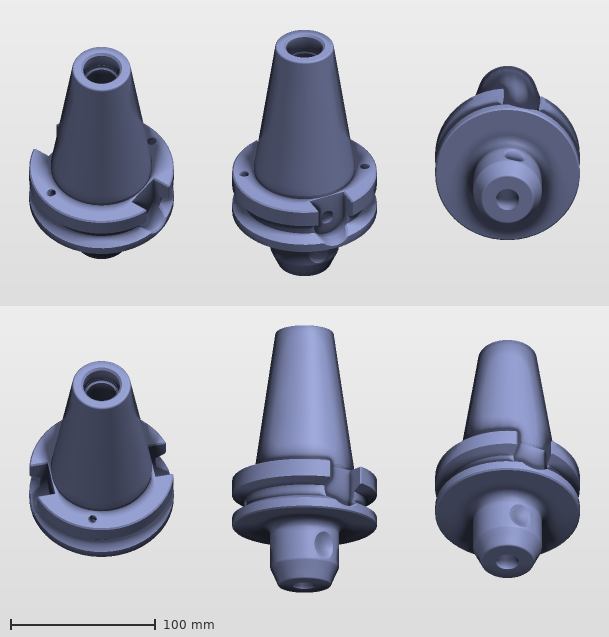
import cadquery as cq
import math

TAPER_TOP_Z = 101.8
TAPER_BOTTOM_Z = -0.4
GAUGE_RADIUS = 69.85 / 2
TAPER_SLOPE = 7 / 48
TAPER_TOP_FILLET = 1.5
COLLAR_RADIUS = 69.71 / 2

FLANGE_RADIUS = 50.0
FLANGE_TOP_Z = -3.0
FLANGE_BOTTOM_Z = -38.0
FLANGE_TOP_CHAMFER = 1.0
FLANGE_BOTTOM_CHAMFER = 1.0
GROOVE_CENTER_Z = -23.1
GROOVE_RADIUS = 42.5
GROOVE_FLOOR_WIDTH = 7.0
GROOVE_FLANK_ANGLE = 30.0

NOSE_RADIUS = 47.5 / 2
NOSE_BOTTOM_Z = -80.0
NOSE_ROOT_FILLET = 6.0
NOSE_CONE_HEIGHT = 12.8
NOSE_TIP_RADIUS = 18.1
NOSE_TIP_FILLET = 1.5
NOSE_SHOULDER_FILLET = 2.5

BORE_RADIUS = 16.0 / 2
THREAD_BORE_RADIUS = 21.0 / 2
THREAD_BORE_DEPTH = 55.0
DRILL_TIP_ANGLE = 59.0
COUNTERBORE_RADIUS = 25.35 / 2
COUNTERBORE_DEPTH = 11.8
PILOT_RADIUS = 25.0 / 2
PILOT_DEPTH = 1.8
MOUTH_CHAMFER = 1.5

SLOT_WIDTH = 25.35
SLOT_CENTER_Z = -21.2
SLOT_FLOOR_X = 35.3
SLOT_CHAMFER = 1.0

CHIP_HOLE_RADIUS = 10.05 / 2
CHIP_HOLE_Z = -20.4
CHIP_HOLE_DEPTH = 4.6
CHIP_HOLE_TIP_ANGLE = 70.0

DIMPLE_Z = -56.4
DIMPLE_SPHERE_RADIUS = 14.5
DIMPLE_RIM_RADIUS = 9.7
DIMPLE_FLAT_RADIUS = 2.8 / 2

COOLANT_ANGLE = 20.0
COOLANT_CIRCLE_RADIUS = 41.8
COOLANT_TILT = 36.0
COOLANT_DRILL_RADIUS = 5.0 / 2
COOLANT_MOUTH_RADIUS = 6.0 / 2
COOLANT_MOUTH_DEPTH = 1.7
COOLANT_RUN_OUT = 6.0

SELECTION_MARGIN = 0.01


def taper_radius(z):
    return GAUGE_RADIUS - TAPER_SLOPE * z


def groove_opening_half():
    """Half of the groove width at the flange rim."""
    flank = (FLANGE_RADIUS - GROOVE_RADIUS) * math.tan(math.radians(GROOVE_FLANK_ANGLE))
    return GROOVE_FLOOR_WIDTH / 2 + flank


def edges_at_height(z):
    """Selector for edges centred within a thin slab around the given height."""
    return cq.selectors.BoxSelector(
        (-FLANGE_RADIUS, -FLANGE_RADIUS, z - SELECTION_MARGIN),
        (FLANGE_RADIUS, FLANGE_RADIUS, z + SELECTION_MARGIN),
    )


def outer_body():
    """Taper, grooved flange and nose as one revolved solid."""
    groove_half = GROOVE_FLOOR_WIDTH / 2
    body = (
        cq.Workplane("XZ")
        .moveTo(0, TAPER_TOP_Z)
        .lineTo(taper_radius(TAPER_TOP_Z), TAPER_TOP_Z)
        .lineTo(taper_radius(TAPER_BOTTOM_Z), TAPER_BOTTOM_Z)
        .lineTo(COLLAR_RADIUS, TAPER_BOTTOM_Z)
        .lineTo(COLLAR_RADIUS, FLANGE_TOP_Z)
        .lineTo(FLANGE_RADIUS - FLANGE_TOP_CHAMFER, FLANGE_TOP_Z)
        .lineTo(FLANGE_RADIUS, FLANGE_TOP_Z - FLANGE_TOP_CHAMFER)
        .lineTo(FLANGE_RADIUS, GROOVE_CENTER_Z + groove_opening_half())
        .lineTo(GROOVE_RADIUS, GROOVE_CENTER_Z + groove_half)
        .lineTo(GROOVE_RADIUS, GROOVE_CENTER_Z - groove_half)
        .lineTo(FLANGE_RADIUS, GROOVE_CENTER_Z - groove_opening_half())
        .lineTo(FLANGE_RADIUS, FLANGE_BOTTOM_Z + FLANGE_BOTTOM_CHAMFER)
        .lineTo(FLANGE_RADIUS - FLANGE_BOTTOM_CHAMFER, FLANGE_BOTTOM_Z)
        .lineTo(NOSE_RADIUS, FLANGE_BOTTOM_Z)
        .lineTo(NOSE_RADIUS, NOSE_BOTTOM_Z + NOSE_CONE_HEIGHT)
        .lineTo(NOSE_TIP_RADIUS, NOSE_BOTTOM_Z)
        .lineTo(0, NOSE_BOTTOM_Z)
        .close()
        .revolve(360, (0, 0, 0), (0, 1, 0))
    )
    body = body.faces(">Z").edges().fillet(TAPER_TOP_FILLET)
    body = body.faces("<Z").edges().fillet(NOSE_TIP_FILLET)
    shoulder = edges_at_height(NOSE_BOTTOM_Z + NOSE_CONE_HEIGHT)
    body = body.edges(shoulder).edges("%CIRCLE").fillet(NOSE_SHOULDER_FILLET)
    root = edges_at_height(FLANGE_BOTTOM_Z)
    smallest = cq.selectors.RadiusNthSelector(0)
    return body.edges(root).edges(smallest).fillet(NOSE_ROOT_FILLET)


def bore():
    """Stepped axial bore: counterbore, threaded hole and through bore."""
    counterbore_z = TAPER_TOP_Z - COUNTERBORE_DEPTH
    thread_end_z = TAPER_TOP_Z - THREAD_BORE_DEPTH
    tip_height = (THREAD_BORE_RADIUS - BORE_RADIUS) / math.tan(math.radians(DRILL_TIP_ANGLE))
    return (
        cq.Workplane("XZ")
        .moveTo(0, TAPER_TOP_Z)
        .lineTo(COUNTERBORE_RADIUS + MOUTH_CHAMFER, TAPER_TOP_Z)
        .lineTo(COUNTERBORE_RADIUS, TAPER_TOP_Z - MOUTH_CHAMFER)
        .lineTo(COUNTERBORE_RADIUS, counterbore_z)
        .lineTo(PILOT_RADIUS, counterbore_z)
        .lineTo(PILOT_RADIUS, counterbore_z - PILOT_DEPTH)
        .lineTo(THREAD_BORE_RADIUS, counterbore_z - PILOT_DEPTH)
        .lineTo(THREAD_BORE_RADIUS, thread_end_z)
        .lineTo(BORE_RADIUS, thread_end_z - tip_height)
        .lineTo(BORE_RADIUS, NOSE_BOTTOM_Z)
        .lineTo(0, NOSE_BOTTOM_Z)
        .close()
        .revolve(360, (0, 0, 0), (0, 1, 0))
    )


def drive_slot():
    """Round-bottomed slot on the -X side, open towards the taper."""
    length = FLANGE_RADIUS - SLOT_FLOOR_X
    top = TAPER_TOP_Z
    half = SLOT_WIDTH / 2
    return (
        cq.Workplane("YZ", origin=(-FLANGE_RADIUS, 0, 0))
        .moveTo(-half, top)
        .lineTo(-half, SLOT_CENTER_Z)
        .threePointArc((0, SLOT_CENTER_Z - half), (half, SLOT_CENTER_Z))
        .lineTo(half, top)
        .close()
        .extrude(length)
    )


def is_slot_rim(edge):
    """True for a slot wall edge on the flange rims, the flange top or the lower groove flank."""
    middle = edge.positionAt(0.5)
    depth_in_round = max(0, SLOT_CENTER_Z - middle.z)
    wall_offset = math.hypot(middle.y, depth_in_round)
    on_wall = abs(wall_offset - SLOT_WIDTH / 2) < SELECTION_MARGIN
    outside_floor = abs(middle.x) > SLOT_FLOOR_X + SELECTION_MARGIN
    on_lower_rim = middle.z < GROOVE_CENTER_Z - GROOVE_FLOOR_WIDTH / 2
    on_upper_rim = middle.z > GROOVE_CENTER_Z + groove_opening_half()
    return on_wall and outside_floor and (on_lower_rim or on_upper_rim)


def chamfer_slot_rims(body):
    """Break the outer edges of both drive slots."""
    solid = body.val()
    rims = [edge for edge in solid.Edges() if is_slot_rim(edge)]
    return cq.Workplane("XY").newObject([solid.chamfer(SLOT_CHAMFER, None, rims)])


def both_sides(shape):
    """The shape together with its copy turned half way round the axis."""
    return shape.union(shape.rotate((0, 0, 0), (0, 0, 1), 180))


def chip_hole():
    """Blind hole with a conical floor in the -X slot floor."""
    tip = CHIP_HOLE_RADIUS / math.tan(math.radians(CHIP_HOLE_TIP_ANGLE))
    return (
        cq.Workplane("XZ", origin=(0, 0, CHIP_HOLE_Z))
        .moveTo(-SLOT_FLOOR_X, 0)
        .lineTo(-SLOT_FLOOR_X, CHIP_HOLE_RADIUS)
        .lineTo(-SLOT_FLOOR_X + CHIP_HOLE_DEPTH, CHIP_HOLE_RADIUS)
        .lineTo(-SLOT_FLOOR_X + CHIP_HOLE_DEPTH + tip, 0)
        .close()
        .revolve(360, (0, 0, 0), (1, 0, 0))
    )


def nose_dimple():
    """Spherical hollow with a small flat at its centre, on the -X side of the nose."""
    center_x = -NOSE_RADIUS - math.sqrt(DIMPLE_SPHERE_RADIUS**2 - DIMPLE_RIM_RADIUS**2)
    flat_x = center_x + math.sqrt(DIMPLE_SPHERE_RADIUS**2 - DIMPLE_FLAT_RADIUS**2)
    half_diagonal = DIMPLE_SPHERE_RADIUS / math.sqrt(2)
    return (
        cq.Workplane("XZ", origin=(0, 0, DIMPLE_Z))
        .moveTo(flat_x, 0)
        .lineTo(flat_x, DIMPLE_FLAT_RADIUS)
        .threePointArc((center_x + half_diagonal, half_diagonal), (center_x, DIMPLE_SPHERE_RADIUS))
        .lineTo(center_x, 0)
        .close()
        .revolve(360, (0, 0, 0), (1, 0, 0))
    )


def stepped_drill(start, direction, depth):
    """Drilled hole with a wider mouth that also reaches out in front of the start point."""
    plane = cq.Plane(origin=start, normal=direction)
    drill = cq.Workplane(plane).circle(COOLANT_DRILL_RADIUS).extrude(depth)
    mouth = cq.Workplane(plane).circle(COOLANT_MOUTH_RADIUS).extrude(COOLANT_MOUTH_DEPTH)
    back = cq.Workplane(plane).circle(COOLANT_MOUTH_RADIUS).extrude(-COOLANT_RUN_OUT)
    return drill.union(mouth).union(back)


def coolant_channel():
    """Leaning hole in the flange face meeting a radial hole from the groove floor, at -Y."""
    drop = FLANGE_TOP_Z - GROOVE_CENTER_Z
    tilt = math.radians(COOLANT_TILT)
    reach = drop * math.tan(tilt)
    face_start = (0, -COOLANT_CIRCLE_RADIUS, FLANGE_TOP_Z)
    face_direction = (0, math.sin(tilt), -math.cos(tilt))
    face_hole = stepped_drill(face_start, face_direction, drop / math.cos(tilt))
    groove_start = (0, -GROOVE_RADIUS, GROOVE_CENTER_Z)
    groove_depth = GROOVE_RADIUS - COOLANT_CIRCLE_RADIUS + reach
    groove_hole = stepped_drill(groove_start, (0, 1, 0), groove_depth)
    return face_hole.union(groove_hole).rotate((0, 0, 0), (0, 0, 1), -COOLANT_ANGLE)


body = outer_body().cut(bore())
body = body.cut(both_sides(drive_slot()))
body = chamfer_slot_rims(body)
body = body.cut(chip_hole()).cut(both_sides(nose_dimple()))
result = body.cut(both_sides(coolant_channel()))